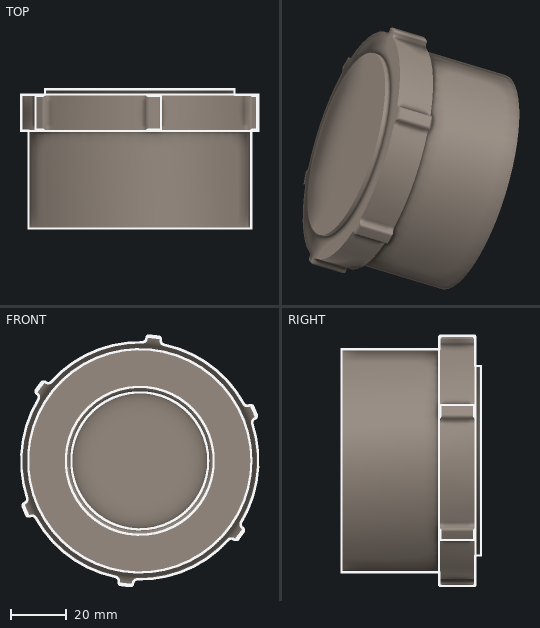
import cadquery as cq
import math

body_radius = 40.0
body_length = 35.0

ring_radius = 42.5
ring_width = 13.0

back_disc_radius = 34.0
back_disc_thickness = 2.0

recess_mouth_radius = 26.5
recess_floor_radius = 24.55
recess_depth = 5.5

rib_count = 6
rib_width = 5.2
rib_tip_radius = 45.0
rib_tilt = 6.5
rib_root_fillet = 1.5
rib_tip_fillet = 1.0
rib_end_bevel = 0.5

tolerance = 0.001

ring_start = body_length
ring_end = ring_start + ring_width
overall_length = ring_end + back_disc_thickness


def make_revolved_body():
    """Stepped round body with a tapered recess in its front face."""
    profile = (
        cq.Workplane("XY")
        .moveTo(0, recess_depth)
        .lineTo(recess_floor_radius, recess_depth)
        .lineTo(recess_mouth_radius, 0)
        .lineTo(body_radius, 0)
        .lineTo(body_radius, ring_start)
        .lineTo(ring_radius, ring_start)
        .lineTo(ring_radius, ring_end)
        .lineTo(back_disc_radius, ring_end)
        .lineTo(back_disc_radius, overall_length)
        .lineTo(0, overall_length)
        .close()
    )
    return profile.revolve(360, (0, 0, 0), (0, 1, 0))


def make_rib():
    """One grip rib along +Z: rounded long edges, and tip bevelled at both ends."""
    bar = cq.Workplane("XY").box(
        rib_width, ring_width, rib_tip_radius, centered=(True, False, False)
    )
    tip_cylinder = cq.Workplane("XZ").circle(rib_tip_radius).extrude(-ring_width)
    rounded_bar = (
        bar.intersect(tip_cylinder)
        .faces(">Z").edges("|Y").fillet(rib_tip_fillet)
    )
    bevelled_cylinder = tip_cylinder.faces("|Y").chamfer(rib_end_bevel)
    return rounded_bar.intersect(bevelled_cylinder).translate((0, ring_start, 0))


def is_rib_root(edge):
    """True for a lengthwise edge where a rib side meets the ring surface."""
    middle = edge.Center()
    on_ring_surface = abs(math.hypot(middle.x, middle.z) - ring_radius) < tolerance
    at_ring_middle = abs(middle.y - (ring_start + ring_end) / 2) < tolerance
    return on_ring_surface and at_ring_middle


def add_ribs(body):
    """Spread the ribs evenly round the ring and blend their roots into it."""
    rib = make_rib()
    for index in range(rib_count):
        angle = rib_tilt + index * 360 / rib_count
        body = body.union(rib.rotate((0, 0, 0), (0, 1, 0), angle))
    root_edges = [edge for edge in body.edges("|Y").vals() if is_rib_root(edge)]
    return body.newObject(root_edges).fillet(rib_root_fillet)


result = add_ribs(make_revolved_body())